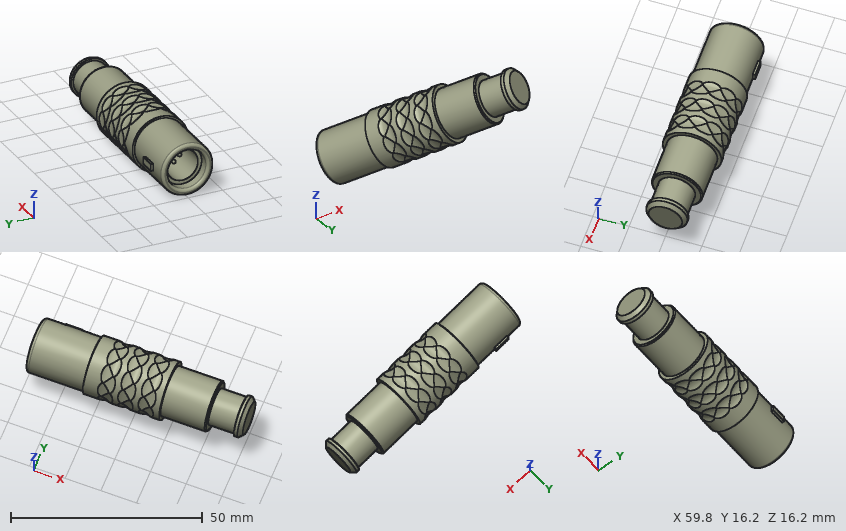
import cadquery as cq
import math

COLLAR_START = 16.3
COLLAR_END = 37.7
REAR_END = 50.35
FLANGE_START = 57.7
LENGTH = 59.8

SHELL_R = 7.5
COLLAR_R = 8.1
REAR_R = 7.0
NECK_R = 5.1
FLANGE_R = 5.7

RIM_FILLET = 0.85
REAR_CHAMFER = 0.35
FLANGE_CHAMFER = 1.1

MOUTH_R = 5.6
MOUTH_DEPTH = 3.2
BORE_R = 4.5
BORE_DEPTH = COLLAR_START

PIN_R = 0.5
PIN_LENGTH = 6.0
PIN_ROOT = 0.5
OUTER_PIN_COUNT = 8
OUTER_PIN_CIRCLE_R = 3.15
INNER_PIN_OFFSET = 1.1

KEY_START = 5.3
KEY_LENGTH = 4.6
KEY_WIDTH = 2.0

BAND_COUNT = 3
ROWS_PER_BAND = 2
BAND_PITCH = 5.7
FIRST_ROW_X = 21.95
ROW_SPACING = 1.1
SCALLOPS_PER_ROW = 10
SCALLOP_DEPTH = 0.47
SCALLOP_RADIUS = 3.0
SCALLOP_LENGTH = 2 * COLLAR_R


def x_cylinder(radius, start, end):
    return cq.Workplane("YZ").workplane(offset=start).circle(radius).extrude(end - start)


def make_sections():
    """Plain turned sections, from the mating face to the cable end."""
    shell = x_cylinder(SHELL_R, 0, COLLAR_START)
    collar = x_cylinder(COLLAR_R, COLLAR_START, COLLAR_END)
    rear = x_cylinder(REAR_R, COLLAR_END, REAR_END).faces(">X").chamfer(REAR_CHAMFER)
    neck = x_cylinder(NECK_R, REAR_END, FLANGE_START)
    flange = x_cylinder(FLANGE_R, FLANGE_START, LENGTH).faces(">X").chamfer(FLANGE_CHAMFER)
    return shell, collar, rear, neck, flange


def cut_scallops(collar):
    """Each scallop is a shallow cylindrical hollow whose axis runs square to the collar axis."""
    axis_radius = COLLAR_R - SCALLOP_DEPTH + SCALLOP_RADIUS
    pitch_angle = 360 / SCALLOPS_PER_ROW
    for band in range(BAND_COUNT):
        for row in range(ROWS_PER_BAND):
            row_x = FIRST_ROW_X + band * BAND_PITCH + row * ROW_SPACING
            cutter = (
                cq.Workplane("XZ")
                .center(row_x, axis_radius)
                .circle(SCALLOP_RADIUS)
                .extrude(SCALLOP_LENGTH / 2, both=True)
            )
            for index in range(SCALLOPS_PER_ROW):
                angle = (index + row / ROWS_PER_BAND) * pitch_angle
                collar = collar.cut(cutter.rotate((0, 0, 0), (1, 0, 0), angle))
    return collar


def cut_socket(shell):
    """Bore the stepped socket and round both edges of the rim."""
    shell = shell.cut(x_cylinder(MOUTH_R, 0, MOUTH_DEPTH))
    shell = shell.cut(x_cylinder(BORE_R, MOUTH_DEPTH, BORE_DEPTH))
    return shell.faces("<X").edges().fillet(RIM_FILLET)


def make_pins():
    """Round-ended pins: a ring of outer pins and an inner pair along Y."""
    points = [(-INNER_PIN_OFFSET, 0), (INNER_PIN_OFFSET, 0)]
    for index in range(OUTER_PIN_COUNT):
        angle = (index + 0.5) * 2 * math.pi / OUTER_PIN_COUNT
        points.append((OUTER_PIN_CIRCLE_R * math.cos(angle), OUTER_PIN_CIRCLE_R * math.sin(angle)))
    dome_center_x = BORE_DEPTH - PIN_LENGTH + PIN_R
    shank_length = BORE_DEPTH + PIN_ROOT - dome_center_x
    pin_centers = cq.Workplane("YZ").workplane(offset=dome_center_x).pushPoints(points)
    shanks = pin_centers.circle(PIN_R).extrude(shank_length)
    domes = pin_centers.sphere(PIN_R)
    return shanks.union(domes)


def make_key():
    """Rectangular key rising from the shell wall to the collar radius."""
    root_y = (MOUTH_R + SHELL_R) / 2
    height = COLLAR_R - root_y
    key = cq.Workplane("XY").box(KEY_LENGTH, height, KEY_WIDTH, centered=(False, False, True))
    return key.translate((KEY_START, root_y, 0))


shell, collar, rear, neck, flange = make_sections()
result = cut_socket(shell)
for section in (cut_scallops(collar), rear, neck, flange, make_pins(), make_key()):
    result = result.union(section)